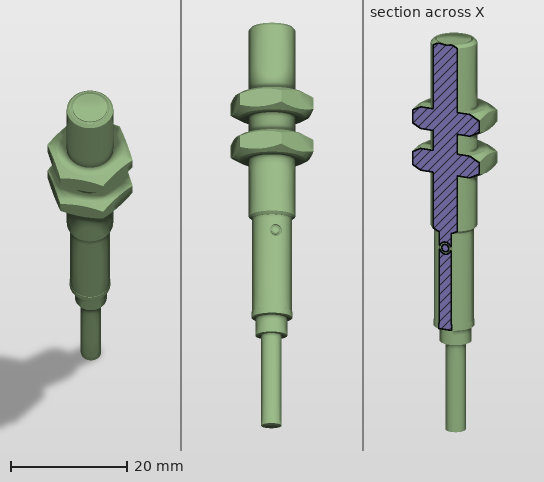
import cadquery as cq
import math

total_length = 70.5
cable_length = 16.0
grommet_length = 3.0
sleeve_length = 17.5
end_ring_length = 1.0
grommet_bottom = cable_length
sleeve_bottom = grommet_bottom + grommet_length
barrel_bottom = sleeve_bottom + sleeve_length

barrel_diameter = 8.0
barrel_chamfer = 0.5

groove_outer_diameter = 6.8
groove_floor_diameter = 6.4
face_disc_diameter = 5.9
groove_depth = 0.2

end_ring_diameter = 7.0
sleeve_diameter = 6.9

grommet_diameter = 5.5
cable_diameter = 3.5
cable_offset = 0.6

nut_width = 13.0
nut_thickness = 4.0
nut_face_diameter = 11.5
nut_chamfer_angle = 30.0
nut_rotation = 2.0
nut_top_depths = (12.0, 19.5)

window_depth_from_top = 36.8
window_diameter = 2.1
lens_diameter = 1.5
lens_chamfer = 0.25
window_recess = 0.4


def cylinder(diameter, bottom, height, offset_x=0.0):
    """Vertical cylinder standing on the height `bottom`."""
    return cq.Workplane("XY", origin=(offset_x, 0, bottom)).circle(diameter / 2).extrude(height)


def make_face_groove():
    """Ring cut into the sensing face, leaving the central disc standing."""
    floor_height = total_length - groove_depth
    profile = [
        (face_disc_diameter / 2, total_length),
        (face_disc_diameter / 2, floor_height),
        (groove_floor_diameter / 2, floor_height),
        (groove_outer_diameter / 2, total_length),
    ]
    return cq.Workplane("XZ").polyline(profile).close().revolve(360, (0, 0, 0), (0, 1, 0))


def make_barrel():
    barrel = cylinder(barrel_diameter, barrel_bottom, total_length - barrel_bottom)
    barrel = barrel.faces("<Z or >Z").chamfer(barrel_chamfer)
    return barrel.cut(make_face_groove())


def make_window():
    """Round pocket cut inward from -X, with a chamfered lens standing on its floor."""
    floor_x = window_recess - sleeve_diameter / 2
    floor = cq.Workplane("YZ", origin=(floor_x, 0, total_length - window_depth_from_top))
    pocket = floor.circle(window_diameter / 2).extrude(-2 * window_recess)
    lens = floor.circle(lens_diameter / 2).extrude(-window_recess).faces("<X").chamfer(lens_chamfer)
    return pocket.cut(lens)


def make_sleeve():
    sleeve = cylinder(sleeve_diameter, sleeve_bottom, sleeve_length)
    end_ring = cylinder(end_ring_diameter, sleeve_bottom, end_ring_length)
    return sleeve.union(end_ring).cut(make_window())


def make_cable_exit():
    grommet = cylinder(grommet_diameter, grommet_bottom, grommet_length, cable_offset)
    cable = cylinder(cable_diameter, 0, cable_length, cable_offset)
    return grommet.union(cable)


def make_nut(top_depth):
    """Hex nut with the corners turned off by a cone on both ends."""
    bottom = total_length - top_depth - nut_thickness
    corner_diameter = 2 * nut_width / math.sqrt(3)
    hexagon = (
        cq.Workplane("XY", origin=(0, 0, bottom))
        .polygon(6, corner_diameter)
        .extrude(nut_thickness)
        .rotate((0, 0, 0), (0, 0, 1), nut_rotation)
    )
    chamfer_width = (corner_diameter - nut_face_diameter) / 2
    chamfer_height = chamfer_width * math.tan(math.radians(nut_chamfer_angle))
    turned_blank = (
        cylinder(corner_diameter, bottom, nut_thickness)
        .faces("<Z or >Z")
        .chamfer(chamfer_height, chamfer_width)
    )
    return hexagon.intersect(turned_blank)


result = make_barrel().union(make_sleeve()).union(make_cable_exit())
for nut_top_depth in nut_top_depths:
    result = result.union(make_nut(nut_top_depth))